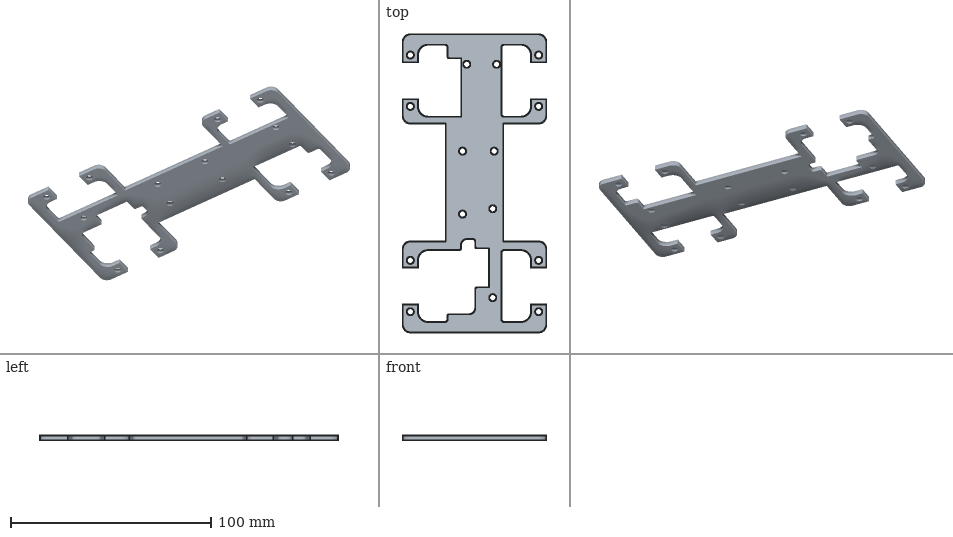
import cadquery as cq
import math

LENGTH = 149.0
WIDTH = 71.8
THICKNESS = 2.5
HALF_LENGTH = LENGTH / 2
HALF_WIDTH = WIDTH / 2
SPINE_HALF_WIDTH = 14.5

UPPER_FRAME_Y = 29.8
LOWER_FRAME_Y = -28.9
FRAME_RADIUS = 4.0

TAB_WIDTH = 7.8
TAB_INNER_X = HALF_WIDTH - TAB_WIDTH
WINDOW_CENTER_Y = 51.3
WINDOW_HEIGHT = 35.8
WINDOW_OUTER_Y = WINDOW_CENTER_Y + WINDOW_HEIGHT / 2
WINDOW_INNER_Y = WINDOW_CENTER_Y - WINDOW_HEIGHT / 2
WINDOW_SIDE_X = 13.5
TAB_GAP = 18.3
ARM_RADIUS = 4.9
SMALL_RADIUS = 1.0
SHARP = 0.0

UPPER_STEP_X = -6.7
UPPER_STEP_Y = 62.5
NOTCH_LEFT_X = UPPER_STEP_X
NOTCH_RIGHT_X = 0.3
NOTCH_TOP_Y = -27.9
NOTCH_RADIUS = 3.0
POCKET_X = 7.2
POCKET_TOP_Y = -32.5
POCKET_BOTTOM_Y = -51.9
LOWER_STEP_Y = -65.3
LOWER_STEP_RADIUS = 3.0

HOLE_DIAMETER = 3.5
TAB_HOLE_X = 32.0
TAB_HOLE_SPACING = 25.6
SPINE_HOLES = [
    (-3.9, 59.5),
    (11.0, 59.5),
    (-6.0, 16.1),
    (9.8, 16.1),
    (9.1, -12.7),
    (-6.0, -15.4),
    (9.1, -57.1),
]


def box_between(x_min, x_max, y_min, y_max):
    """Plate-thick block between two X and two Y limits."""
    block = cq.Workplane("XY").box(x_max - x_min, y_max - y_min, THICKNESS, centered=False)
    return block.translate((x_min, y_min, 0))


def step_from(corner, target, distance):
    """Point at the given distance from a corner on the way to a target."""
    ratio = distance / math.dist(corner, target)
    return tuple(c + (t - c) * ratio for c, t in zip(corner, target))


def rounded_prism(corners):
    """Plate-thick prism from right-angled corners given as (x, y, radius)."""
    points = [(x, y) for x, y, _ in corners]
    radii = [radius for _, _, radius in corners]
    start = step_from(points[0], points[1], radii[0])
    path = cq.Workplane("XY").moveTo(*start)
    for i in range(1, len(corners) + 1):
        k = i % len(corners)
        corner = points[k]
        before = points[k - 1]
        after = points[(k + 1) % len(corners)]
        radius = radii[k]
        arc_start = step_from(corner, before, radius)
        path = path.lineTo(*arc_start)
        if radius > 0:
            arc_end = step_from(corner, after, radius)
            arc_center = (arc_start[0] + arc_end[0] - corner[0], arc_start[1] + arc_end[1] - corner[1])
            arc_middle = step_from(arc_center, corner, radius)
            path = path.threePointArc(arc_middle, arc_end)
    return path.close().extrude(THICKNESS)


def end_frame(y_min, y_max):
    """Full-width block with rounded outer corners."""
    return box_between(-HALF_WIDTH, HALF_WIDTH, y_min, y_max).edges("|Z").fillet(FRAME_RADIUS)


def right_window():
    """Upper right window, rounded at the spine and at the arms."""
    return rounded_prism([
        (WINDOW_SIDE_X, WINDOW_INNER_Y, SMALL_RADIUS),
        (TAB_INNER_X, WINDOW_INNER_Y, ARM_RADIUS),
        (TAB_INNER_X, WINDOW_OUTER_Y, ARM_RADIUS),
        (WINDOW_SIDE_X, WINDOW_OUTER_Y, SMALL_RADIUS),
    ])


def upper_left_window():
    """Window with one step towards the spine."""
    return rounded_prism([
        (-TAB_INNER_X, WINDOW_INNER_Y, ARM_RADIUS),
        (UPPER_STEP_X, WINDOW_INNER_Y, SHARP),
        (UPPER_STEP_X, UPPER_STEP_Y, SHARP),
        (-WINDOW_SIDE_X, UPPER_STEP_Y, SMALL_RADIUS),
        (-WINDOW_SIDE_X, WINDOW_OUTER_Y, SMALL_RADIUS),
        (-TAB_INNER_X, WINDOW_OUTER_Y, ARM_RADIUS),
    ])


def lower_left_window():
    """Window with a notch at its top, a side pocket and a step at its bottom."""
    return rounded_prism([
        (-TAB_INNER_X, -WINDOW_OUTER_Y, ARM_RADIUS),
        (-WINDOW_SIDE_X, -WINDOW_OUTER_Y, SMALL_RADIUS),
        (-WINDOW_SIDE_X, LOWER_STEP_Y, SMALL_RADIUS),
        (NOTCH_RIGHT_X, LOWER_STEP_Y, LOWER_STEP_RADIUS),
        (NOTCH_RIGHT_X, POCKET_BOTTOM_Y, SMALL_RADIUS),
        (POCKET_X, POCKET_BOTTOM_Y, SHARP),
        (POCKET_X, POCKET_TOP_Y, SHARP),
        (NOTCH_RIGHT_X, POCKET_TOP_Y, SMALL_RADIUS),
        (NOTCH_RIGHT_X, NOTCH_TOP_Y, SMALL_RADIUS),
        (NOTCH_LEFT_X, NOTCH_TOP_Y, NOTCH_RADIUS),
        (NOTCH_LEFT_X, -WINDOW_INNER_Y, SMALL_RADIUS),
        (-TAB_INNER_X, -WINDOW_INNER_Y, ARM_RADIUS),
    ])


def tab_gaps():
    """Openings between facing tabs, from the windows out to the plate sides."""
    centers = [(side * (HALF_WIDTH - TAB_WIDTH / 2), end * WINDOW_CENTER_Y)
               for side in (-1, 1) for end in (-1, 1)]
    return cq.Workplane("XY").pushPoints(centers).rect(TAB_WIDTH, TAB_GAP).extrude(THICKNESS)


def holes():
    """Through holes in the eight tabs and along the spine."""
    tab_holes = [(side * TAB_HOLE_X, end * (WINDOW_CENTER_Y + offset))
                 for side in (-1, 1) for end in (-1, 1)
                 for offset in (-TAB_HOLE_SPACING / 2, TAB_HOLE_SPACING / 2)]
    plane = cq.Workplane("XY").pushPoints(tab_holes + SPINE_HOLES)
    return plane.circle(HOLE_DIAMETER / 2).extrude(THICKNESS)


plate = box_between(-SPINE_HALF_WIDTH, SPINE_HALF_WIDTH, LOWER_FRAME_Y, UPPER_FRAME_Y)
plate = plate.union(end_frame(UPPER_FRAME_Y, HALF_LENGTH))
plate = plate.union(end_frame(-HALF_LENGTH, LOWER_FRAME_Y))

plate = plate.cut(right_window())
plate = plate.cut(right_window().mirror("XZ"))
plate = plate.cut(upper_left_window())
plate = plate.cut(lower_left_window())
plate = plate.cut(tab_gaps())
result = plate.cut(holes())